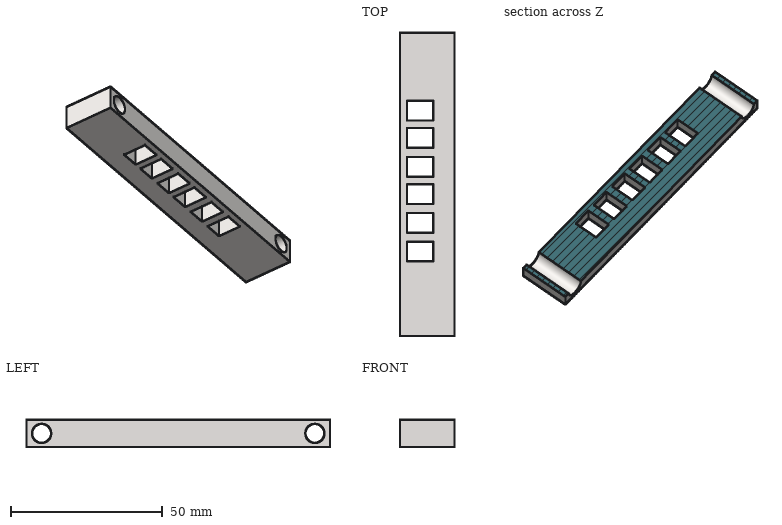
import cadquery as cq

width = 18.0
length = 100.0
height = 9.0

hole_diameter = 6.2
hole_spacing = 90.0

window_width = 8.5
window_length = 6.4
window_wall = 2.4
window_centers_y = [-22.1, -12.7, -3.2, 5.8, 15.3, 24.3]

bar = cq.Workplane("XY").box(width, length, height)

cross_holes = (
    cq.Workplane("YZ")
    .pushPoints([(-hole_spacing / 2, 0), (hole_spacing / 2, 0)])
    .circle(hole_diameter / 2)
    .extrude(width, both=True)
)

window_center_x = -width / 2 + window_wall + window_width / 2
windows = (
    cq.Workplane("XY")
    .pushPoints([(window_center_x, y) for y in window_centers_y])
    .rect(window_width, window_length)
    .extrude(height, both=True)
)

result = bar.cut(cross_holes).cut(windows)